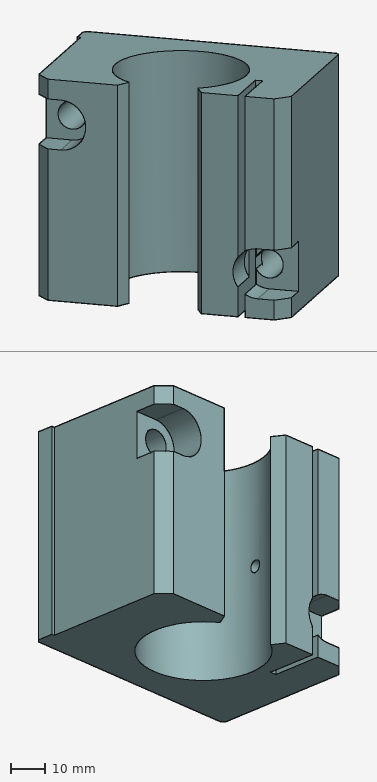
import cadquery as cq
import math

width = 78.0
depth = 51.0
height = 67.0

ledge_step = 1.0
ledge_length = 6.5
rear_chamfer = 1.0
front_chamfer = 4.0

bore_radius = 20.0
bore_x = width / 2
bore_y = 21.0
opening_half_width = 12.8
opening_half_angle = 30.0

slit_width = 2.2
slit_depth = 17.0
slit_x = 64.0

screw_radius = 4.3
seat_radius = 7.6
seat_depth = 11.0
screw_inset = 9.0
screw_end_distance = 13.6

pin_radius = 1.95
pin_depth = 3.9
pin_reach = bore_radius + pin_depth
pin_angle = 5.0


def make_block():
    outline = [
        (ledge_step + front_chamfer, 0),
        (width - front_chamfer, 0),
        (width, front_chamfer),
        (width, depth - rear_chamfer),
        (width - rear_chamfer, depth),
        (rear_chamfer, depth),
        (0, depth - rear_chamfer),
        (0, depth - ledge_length),
        (ledge_step, depth - ledge_length),
        (ledge_step, front_chamfer),
    ]
    return cq.Workplane("XY").polyline(outline).close().extrude(height)


def make_bore():
    bore = cq.Workplane("XY").center(bore_x, bore_y).circle(bore_radius).extrude(height)
    apex_y = opening_half_width / math.tan(math.radians(opening_half_angle))
    opening = (
        cq.Workplane("XY")
        .polyline([
            (bore_x, apex_y),
            (bore_x - opening_half_width, 0),
            (bore_x + opening_half_width, 0),
        ])
        .close()
        .extrude(height)
    )
    return bore.union(opening)


def make_slit():
    return cq.Workplane("XY").box(
        slit_width, slit_depth, height, centered=(True, False, False)
    ).translate((slit_x, 0, 0))


def make_screw_cut(x, z, side):
    """Through hole plus a round-ended seat open towards side (-1 left, +1 right)."""
    front = cq.Workplane("XZ", origin=(x, 0, z))
    hole = front.circle(screw_radius).extrude(-depth)
    seat_end = front.circle(seat_radius).extrude(-seat_depth)
    run_out = (
        front.center(side * screw_inset / 2, 0)
        .rect(screw_inset, 2 * seat_radius)
        .extrude(-seat_depth)
    )
    return hole.union(seat_end).union(run_out)


def make_pin_hole():
    return (
        cq.Workplane("YZ", origin=(bore_x, bore_y, height / 2))
        .circle(pin_radius)
        .extrude(pin_reach)
        .rotate((bore_x, bore_y, 0), (bore_x, bore_y, 1), -pin_angle)
    )


result = (
    make_block()
    .cut(make_bore())
    .cut(make_slit())
    .cut(make_screw_cut(screw_inset, height - screw_end_distance, -1))
    .cut(make_screw_cut(width - screw_inset, screw_end_distance, 1))
    .cut(make_pin_hole())
)